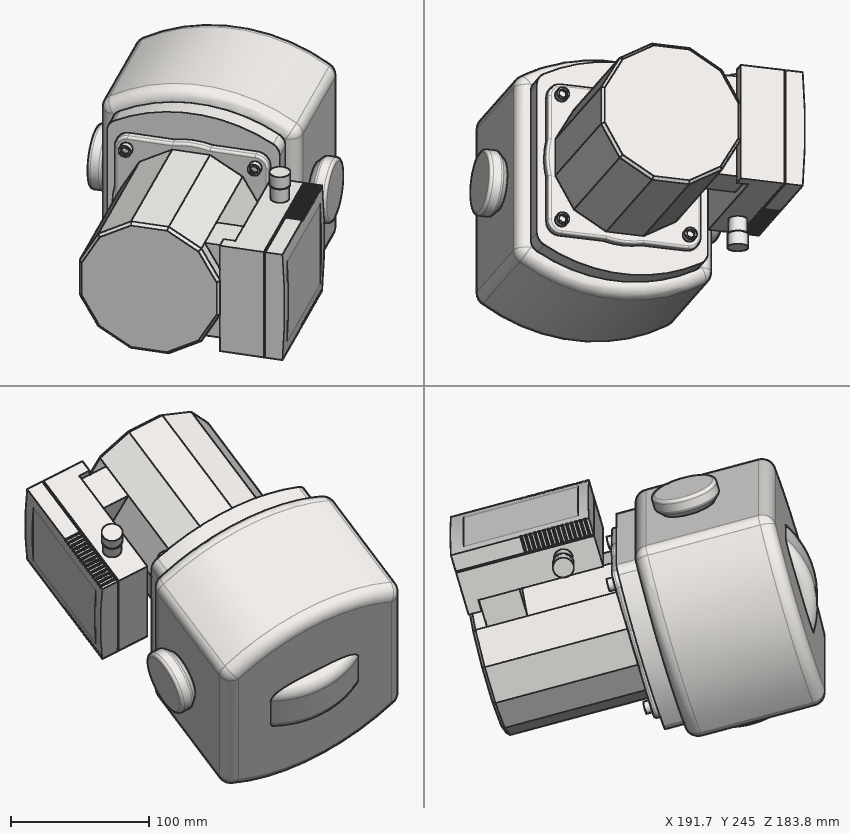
import cadquery as cq
import math


overall_length = 245
volute_radius = 72.3
motor_end_y = volute_radius - overall_length
shell_back_y = 62.0
shell_depth = 104.7
shell_front_y = shell_back_y - shell_depth
step_depth = 14.7
step_front_y = shell_front_y - step_depth

shell_width = 150.0
shell_height = 183.8
shell_arc_radius = 132.3
shell_round = 10.0

volute_height = 48.5
volute_round = 10.0
port_span = 180.0
port_radius = 24.3
port_neck_radius = 19.0
port_flange_thickness = 8.8
port_edge_round = 2.5
port_neck_curve = 3.7

flange_size = 116.2
flange_thickness = 6.0
flange_corner_radius = 10.0
flange_edge_round = 2.0
flange_disc_radius = 59.8
can_side_count = 12
can_across_flats = 106.0
can_edge_chamfer = 2.2
flange_front_y = step_front_y - flange_thickness

screw_offset = 48.5
screw_head_radius = 4.7
screw_head_height = 5
socket_side_count = 6
socket_across_flats = 6.0
socket_depth = 2.5

box_height = 88.2
box_inner_x = 61.8
box_rear_y = -68.1
box_front_y = -171.8
box_crown_x = 101.7
box_crown_rise = 1.7
lip_rear_y = -162.0
lip_inner_x = can_across_flats / 2
boss_rear_y = -131.5
recess_rear_y = -76
recess_depth = 1.0
seam_inner_x = 86.0
seam_width = 1.0
seam_depth = 1.0
rib_groove_count = 15
rib_groove_pitch = 3.5
rib_groove_width = 1.35
rib_groove_depth = 1.2
first_groove_offset = 3.0
gland_x = 75.7
gland_y = -94.0
gland_stem_radius = 6.9
gland_cap_radius = 7.5
gland_cap_inner_z = 55.6
gland_cap_outer_z = 66.0


def box_between(x_range, y_range, z_range):
    """Axis-aligned block spanning the given (low, high) ranges."""
    x_size, y_size, z_size = (high - low for low, high in (x_range, y_range, z_range))
    block = cq.Workplane("XY").box(x_size, y_size, z_size, centered=False)
    return block.translate((x_range[0], y_range[0], z_range[0]))


def prism_plane(y):
    """Work plane at the given Y whose extrusions run towards -Y."""
    return cq.Workplane("XZ", origin=(0, y, 0))


def barrel_prism(inset, y, depth):
    """Prism with straight sides and arched top and bottom, moved inwards all round by `inset`."""
    half_width = shell_width / 2 - inset
    crown_z = shell_height / 2 - inset
    arc_radius = shell_arc_radius - inset
    arc_center_z = crown_z - arc_radius
    corner_z = arc_center_z + math.sqrt(arc_radius**2 - half_width**2)
    return (
        prism_plane(y)
        .moveTo(-half_width, -corner_z)
        .lineTo(-half_width, corner_z)
        .threePointArc((0, crown_z), (half_width, corner_z))
        .lineTo(half_width, -corner_z)
        .threePointArc((0, -crown_z), (-half_width, -corner_z))
        .close()
        .extrude(depth)
    )


def make_port():
    """Round port along +X: flange with rounded rims, curving down to a neck that reaches the centre."""
    face_x = port_span / 2
    back_x = face_x - port_flange_thickness
    arc_run = math.sin(math.radians(45))
    arc_drop = 1 - math.cos(math.radians(45))
    cone_start_x = back_x - port_edge_round * arc_run
    cone_start_radius = port_radius - port_edge_round * arc_drop
    cone_end_radius = port_neck_radius + port_neck_curve * arc_drop
    cone_end_x = cone_start_x - (cone_start_radius - cone_end_radius)
    neck_x = cone_end_x - port_neck_curve * arc_run
    profile = (
        cq.Workplane("XY")
        .lineTo(face_x, 0)
        .lineTo(face_x, port_radius - port_edge_round)
        .tangentArcPoint((face_x - port_edge_round, port_radius), relative=False)
        .lineTo(back_x, port_radius)
        .tangentArcPoint((cone_start_x, cone_start_radius), relative=False)
        .lineTo(cone_end_x, cone_end_radius)
        .tangentArcPoint((neck_x, port_neck_radius), relative=False)
        .lineTo(0, port_neck_radius)
        .close()
    )
    return profile.revolve(360, (0, 0, 0), (1, 0, 0))


def make_pump_casing():
    """Round volute, cut flat where the motor bolts on, with a port at each end of the pipe axis."""
    volute = (
        cq.Workplane("XY")
        .circle(volute_radius)
        .extrude(volute_height / 2, both=True)
        .edges()
        .fillet(volute_round)
    )
    motor_side = box_between(
        (-volute_radius, volute_radius),
        (-volute_radius, step_front_y),
        (-volute_height, volute_height),
    )
    volute = volute.cut(motor_side)
    port = make_port()
    return volute.union(port).union(port.mirror("YZ"))


def make_insulation_shell(casing):
    """Rounded shell with a front step set in to where the rounding ends, fitted closely around the casing."""
    block = barrel_prism(0, shell_back_y, shell_depth).edges().fillet(shell_round)
    step = barrel_prism(shell_round, shell_front_y, step_depth).edges("|Y").fillet(shell_round)
    return block.union(step).cut(casing)


def make_motor():
    """Mounting flange, twelve-sided can and the boss that carries the control box."""
    plate = (
        prism_plane(step_front_y)
        .rect(flange_size, flange_size)
        .extrude(flange_thickness)
        .edges("|Y")
        .fillet(flange_corner_radius)
    )
    disc = prism_plane(step_front_y).circle(flange_disc_radius).extrude(flange_thickness)
    flange = plate.union(disc).faces("<Y").edges().fillet(flange_edge_round)

    half_side_angle = 180 / can_side_count
    can_across_corners = can_across_flats / math.cos(math.radians(half_side_angle))
    can = (
        prism_plane(flange_front_y)
        .polygon(can_side_count, can_across_corners)
        .extrude(flange_front_y - motor_end_y)
        .rotate((0, 0, 0), (0, 1, 0), half_side_angle)
        .faces("<Y")
        .chamfer(can_edge_chamfer)
    )
    boss_half_height = can_across_corners / 2 * math.sin(math.radians(45))
    boss = box_between(
        (0, box_inner_x), (lip_rear_y, boss_rear_y), (-boss_half_height, boss_half_height)
    )
    return flange.union(can).union(boss)


def make_screw(x, z):
    """Cylindrical screw head with a hexagon socket, seated on the motor flange."""
    half_side_angle = 180 / socket_side_count
    socket_across_corners = socket_across_flats / math.cos(math.radians(half_side_angle))
    head = prism_plane(flange_front_y).circle(screw_head_radius).extrude(screw_head_height)
    socket = (
        prism_plane(flange_front_y - screw_head_height + socket_depth)
        .polygon(socket_side_count, socket_across_corners)
        .extrude(socket_depth)
        .rotate((0, 0, 0), (0, 1, 0), half_side_angle)
    )
    return head.cut(socket).translate((x, 0, z))


def make_box_block():
    """Crowned block of the control box with its lip along the motor and its recessed label face."""
    half_height = box_height / 2
    side_x = box_crown_x - box_crown_rise
    block = (
        prism_plane(box_rear_y)
        .moveTo(box_inner_x, -half_height)
        .lineTo(side_x, -half_height)
        .threePointArc((box_crown_x, 0), (side_x, half_height))
        .lineTo(box_inner_x, half_height)
        .close()
        .extrude(box_rear_y - box_front_y)
    )
    lip = box_between(
        (lip_inner_x, box_inner_x), (box_front_y, lip_rear_y), (-half_height, half_height)
    )
    label_recess = box_between(
        (box_crown_x - recess_depth, box_crown_x + recess_depth),
        (lip_rear_y, recess_rear_y),
        (-half_height, half_height),
    )
    return block.union(lip).cut(label_recess)


def make_box_seam():
    """Ring to cut a shallow seam around the four outer sides of the control box."""
    half_height = box_height / 2
    seam_x = (seam_inner_x, seam_inner_x + seam_width)
    outer = box_between(seam_x, (box_front_y, box_rear_y), (-half_height, half_height))
    core = box_between(
        seam_x,
        (box_front_y + seam_depth, box_rear_y - seam_depth),
        (seam_depth - half_height, half_height - seam_depth),
    )
    return outer.cut(core)


def make_rib_groove(index):
    """Cooling groove, counted from the rear, across the top of the cover; a twin runs underneath."""
    groove_y = box_rear_y - first_groove_offset - index * rib_groove_pitch
    half_height = box_height / 2
    groove = box_between(
        (seam_inner_x + seam_width, box_crown_x),
        (groove_y - rib_groove_width / 2, groove_y + rib_groove_width / 2),
        (half_height - rib_groove_depth, half_height),
    )
    return groove.union(groove.mirror("XY"))


def make_gland():
    """Cable gland on top of the control box: a stem with a wider cap."""
    stem_start_z = box_height / 2
    stem = (
        cq.Workplane("XY", origin=(gland_x, gland_y, stem_start_z))
        .circle(gland_stem_radius)
        .extrude(gland_cap_inner_z - stem_start_z)
    )
    cap = (
        cq.Workplane("XY", origin=(gland_x, gland_y, gland_cap_inner_z))
        .circle(gland_cap_radius)
        .extrude(gland_cap_outer_z - gland_cap_inner_z)
    )
    return stem.union(cap)


def make_control_box():
    """Control box with seam, cooling grooves and a cable gland above and below."""
    body = make_box_block().cut(make_box_seam())
    for index in range(rib_groove_count):
        body = body.cut(make_rib_groove(index))
    gland = make_gland()
    return body.union(gland).union(gland.mirror("XY"))


pump_casing = make_pump_casing()
insulation_shell = make_insulation_shell(pump_casing)
motor = make_motor()
control_box = make_control_box()
screws = [
    make_screw(x_side * screw_offset, z_side * screw_offset)
    for x_side in (-1, 1)
    for z_side in (-1, 1)
]

result = cq.Compound.makeCompound(
    [
        pump_casing.val(),
        insulation_shell.val(),
        motor.val(),
        control_box.val(),
        *[screw.val() for screw in screws],
    ]
)